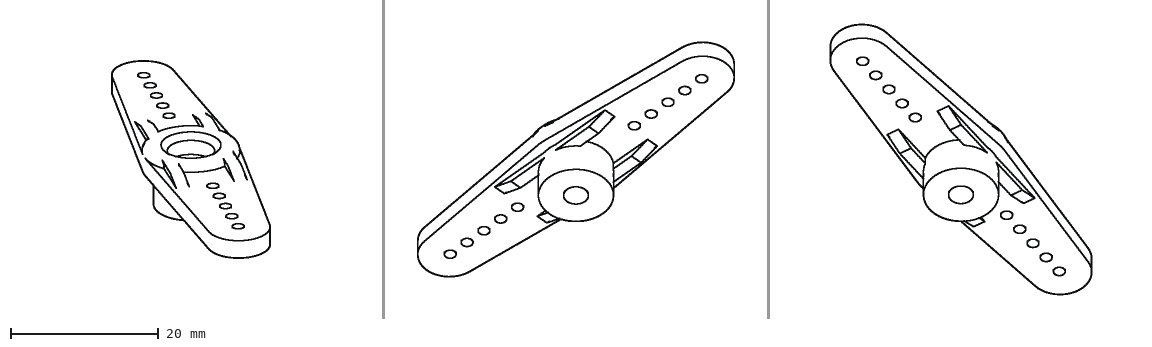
import cadquery as cq
import math

arm_length = 57.15
arm_thickness = 2.65
hub_diameter = 13.25
tip_radius = 4.3

collar_height = 0.85
total_height = 8.9
boss_diameter = 10.2

bore_diameter = 3.4
recess_diameter = 6.4
recess_depth = 3.0
recess_chamfer = 0.85

hole_diameter = 1.6
holes_per_arm = 5
first_hole_x = 11.2
hole_pitch = 3.23

rib_inner_y = 3.15
rib_outer_y = 5.0
rib_half_length = 10.6
rib_flat_half_length = 7.5
lower_rib_height = 1.05
upper_rib_drop = 0.03

hub_radius = hub_diameter / 2
tip_center_x = arm_length / 2 - tip_radius
collar_top = arm_thickness + collar_height
boss_bottom = collar_top - total_height


def make_arm():
    """Plate whose straight sides are tangent to the hub and tip circles."""
    taper_angle = math.asin((hub_radius - tip_radius) / tip_center_x)
    hub_x = hub_radius * math.sin(taper_angle)
    hub_y = hub_radius * math.cos(taper_angle)
    tip_x = tip_center_x + tip_radius * math.sin(taper_angle)
    tip_y = tip_radius * math.cos(taper_angle)
    return (
        cq.Workplane("XY")
        .moveTo(hub_x, hub_y)
        .lineTo(tip_x, tip_y)
        .threePointArc((arm_length / 2, 0), (tip_x, -tip_y))
        .lineTo(hub_x, -hub_y)
        .threePointArc((0, -hub_radius), (-hub_x, -hub_y))
        .lineTo(-tip_x, -tip_y)
        .threePointArc((-arm_length / 2, 0), (-tip_x, tip_y))
        .lineTo(-hub_x, hub_y)
        .threePointArc((0, hub_radius), (hub_x, hub_y))
        .close()
        .extrude(arm_thickness)
    )


def make_collar():
    """Raised disc with its whole outer side rounded into the top face."""
    flat_radius = hub_radius - collar_height
    diagonal = collar_height * math.sqrt(0.5)
    return (
        cq.Workplane("XZ")
        .moveTo(0, arm_thickness)
        .lineTo(hub_radius, arm_thickness)
        .threePointArc(
            (flat_radius + diagonal, arm_thickness + diagonal),
            (flat_radius, collar_top),
        )
        .lineTo(0, collar_top)
        .close()
        .revolve(360, (0, 0), (0, 1))
    )


def make_boss():
    return cq.Workplane("XY").circle(boss_diameter / 2).extrude(boss_bottom)


def make_rib_pair(base_z, flat_z):
    """Two ribs, one on each side of the X axis, ramping down at both ends."""
    rib = (
        cq.Workplane("XZ", origin=(0, rib_outer_y, 0))
        .polyline([
            (-rib_half_length, base_z),
            (-rib_flat_half_length, flat_z),
            (rib_flat_half_length, flat_z),
            (rib_half_length, base_z),
        ])
        .close()
        .extrude(rib_outer_y - rib_inner_y)
    )
    return rib.union(rib.mirror("XZ"))


def make_bore():
    """Through hole with a chamfered recess at the top."""
    bore = (
        cq.Workplane("XY", origin=(0, 0, boss_bottom))
        .circle(bore_diameter / 2)
        .extrude(total_height)
    )
    recess_radius = recess_diameter / 2
    recess = (
        cq.Workplane("XZ")
        .polyline([
            (0, collar_top - recess_depth),
            (recess_radius, collar_top - recess_depth),
            (recess_radius, collar_top - recess_chamfer),
            (recess_radius + recess_chamfer, collar_top),
            (0, collar_top),
        ])
        .close()
        .revolve(360, (0, 0), (0, 1))
    )
    return bore.union(recess)


def make_arm_holes():
    hole_centers = [
        (side * (first_hole_x + index * hole_pitch), 0)
        for side in (-1, 1)
        for index in range(holes_per_arm)
    ]
    return (
        cq.Workplane("XY")
        .pushPoints(hole_centers)
        .circle(hole_diameter / 2)
        .extrude(arm_thickness)
    )


upper_ribs = make_rib_pair(arm_thickness, collar_top - upper_rib_drop)
lower_ribs = make_rib_pair(0, -lower_rib_height)

body = make_arm().union(make_collar()).union(make_boss())
body = body.union(upper_ribs).union(lower_ribs)
result = body.cut(make_bore()).cut(make_arm_holes())